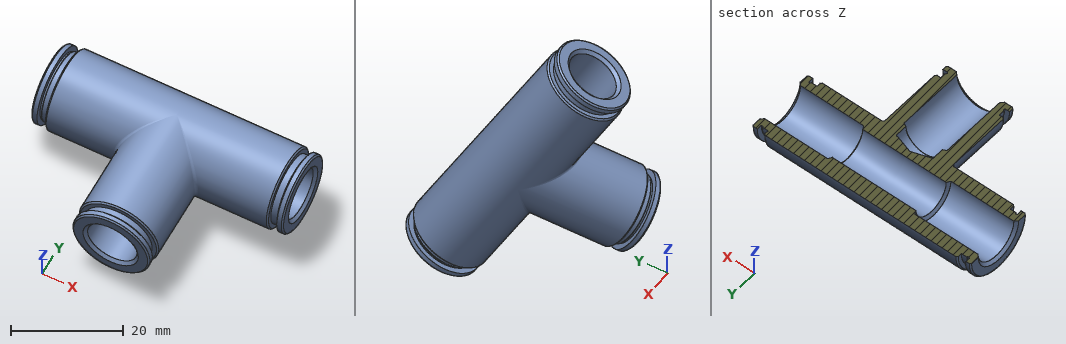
import cadquery as cq
import math

arm_length = 25.3

body_radius = 8.0
body_length = 22.4
body_end_chamfer = 0.3
junction_fillet = 0.5
selection_margin = 0.05

flange_radius = 7.75
flange_thickness = 1.2
flange_chamfer = 0.3
neck_radius = 6.65
neck_width = 0.4
sleeve_radius = 6.85
sleeve_embed = 0.5

mouth_radius = 5.55
socket_radius = 4.95
mouth_depth = 0.6
socket_depth = 15.2
passage_radius = 4.2
seat_angle = math.radians(30)
branch_passage_depth = 18.2
tip_angle = math.radians(18)

seat_depth = socket_depth + (socket_radius - passage_radius) * math.tan(seat_angle)
branch_tip_depth = branch_passage_depth + passage_radius * math.tan(tip_angle)


def revolve_arm(profile):
    """Revolve (radius, distance from origin) points about the branch axis, which points along -Y."""
    points = [(radius, -distance) for radius, distance in profile]
    return cq.Workplane("XY").polyline(points).close().revolve(360, (0, 0), (0, 1))


def on_every_arm(shape):
    """The branch-arm shape followed by its copies on the -X and +X arms."""
    return [shape.rotate((0, 0, 0), (0, 0, 1), angle) for angle in (0, -90, 90)]


def make_body():
    run = cq.Workplane("YZ").circle(body_radius).extrude(body_length, both=True)
    run = run.faces("<X or >X").chamfer(body_end_chamfer)
    branch = cq.Workplane("XZ").circle(body_radius).extrude(body_length)
    branch = branch.faces("<Y").chamfer(body_end_chamfer)
    return run.union(branch)


def make_sleeve():
    flange_start = arm_length - flange_thickness
    neck_start = flange_start - neck_width
    return revolve_arm([
        (0, body_length - sleeve_embed),
        (sleeve_radius, body_length - sleeve_embed),
        (sleeve_radius, neck_start),
        (neck_radius, neck_start),
        (neck_radius, flange_start),
        (flange_radius, flange_start),
        (flange_radius, arm_length - flange_chamfer),
        (flange_radius - flange_chamfer, arm_length),
        (0, arm_length),
    ])


def make_socket():
    return revolve_arm([
        (0, arm_length),
        (mouth_radius, arm_length),
        (socket_radius, arm_length - mouth_depth),
        (socket_radius, arm_length - socket_depth),
        (passage_radius, arm_length - seat_depth),
        (0, arm_length - seat_depth),
    ])


def make_branch_passage():
    return revolve_arm([
        (0, arm_length - socket_depth),
        (passage_radius, arm_length - socket_depth),
        (passage_radius, arm_length - branch_passage_depth),
        (0, arm_length - branch_tip_depth),
    ])


def make_through_passage():
    half_length = arm_length - socket_depth
    return cq.Workplane("YZ").circle(passage_radius).extrude(half_length, both=True)


def fillet_junction(body):
    """Round the inside corner where the branch meets the run; it fades out at the top and bottom."""
    reach = body_radius + selection_margin
    corner = cq.selectors.BoxSelector(
        (-reach, -reach, -reach),
        (reach, selection_margin, reach),
        boundingbox=True,
    )
    return body.edges(corner).fillet(junction_fillet)


part = fillet_junction(make_body())
for sleeve in on_every_arm(make_sleeve()):
    part = part.union(sleeve)
for socket in on_every_arm(make_socket()):
    part = part.cut(socket)
part = part.cut(make_branch_passage())
part = part.cut(make_through_passage())

result = part